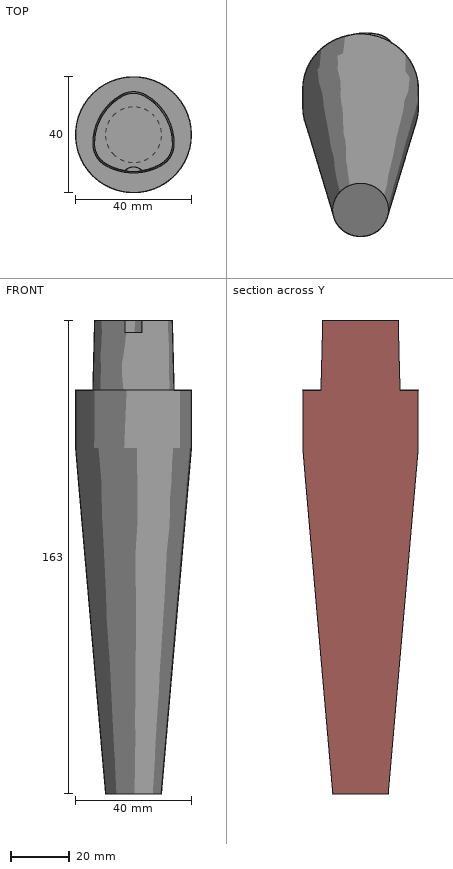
import cadquery as cq
import math

total_height = 163.0
shank_height = 24.0
collar_height = 20.0
collar_base = total_height - shank_height - collar_height
shank_base = total_height - shank_height

collar_diameter = 40.0
tip_diameter = 19.2

lobe_radius = 8.6
lobe_center_distance = 6.2
taper_on_diameter = 1 / 20
top_inset = shank_height * taper_on_diameter / 2

notch_diameter = 7.8
notch_height = 4.0
notch_back_distance = 11.1


def polar(radius, degrees):
    angle = math.radians(degrees)
    return radius * math.cos(angle), radius * math.sin(angle)


def arc_point(center, radius, degrees):
    x, y = polar(radius, degrees)
    return center[0] + x, center[1] + y


def lobed_wire(inset, height):
    """Rounded Reuleaux triangle: each flank is centred on the opposite lobe centre."""
    small_radius = lobe_radius - inset
    flank_radius = small_radius + lobe_center_distance * math.sqrt(3)
    outline = cq.Workplane("XY", origin=(0, 0, height))
    first_center = polar(lobe_center_distance, 90)
    outline = outline.moveTo(*arc_point(first_center, small_radius, 60))
    for lobe_angle in (90, 210, 330):
        lobe_center = polar(lobe_center_distance, lobe_angle)
        opposite_center = polar(lobe_center_distance, lobe_angle + 240)
        flank_angle = lobe_angle + 60
        outline = outline.threePointArc(
            arc_point(lobe_center, small_radius, lobe_angle),
            arc_point(lobe_center, small_radius, lobe_angle + 30),
        )
        outline = outline.threePointArc(
            arc_point(opposite_center, flank_radius, flank_angle),
            arc_point(opposite_center, flank_radius, flank_angle + 30),
        )
    return outline.close().val()


def make_body():
    """Tapered handle and cylindrical collar as one revolved solid."""
    profile = (
        cq.Workplane("XZ")
        .lineTo(tip_diameter / 2, 0)
        .lineTo(collar_diameter / 2, collar_base)
        .lineTo(collar_diameter / 2, shank_base)
        .lineTo(0, shank_base)
        .close()
    )
    return profile.revolve(360, (0, 0, 0), (0, 1, 0))


def make_shank():
    base_wire = lobed_wire(0, shank_base)
    top_wire = lobed_wire(top_inset, total_height)
    return cq.Workplane(cq.Solid.makeLoft([base_wire, top_wire], True))


def make_notch():
    center_y = -(notch_back_distance + notch_diameter / 2)
    plane = cq.Workplane("XY", origin=(0, center_y, total_height - notch_height))
    return plane.circle(notch_diameter / 2).extrude(notch_height)


result = make_body().union(make_shank()).cut(make_notch())